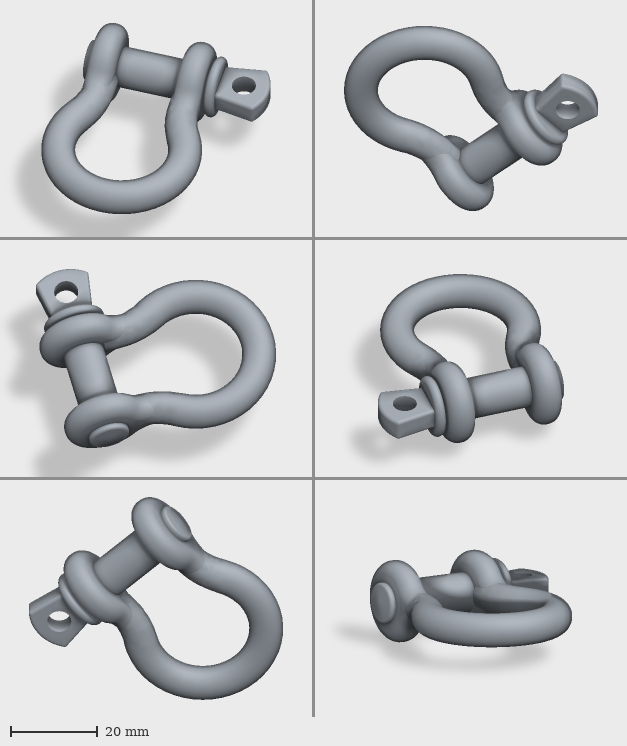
import cadquery as cq
import math


eye_radius = 9.55
eye_width = 6.35
eye_rounding = 2.95
hub_height = 0.15
eye_offset = 10.6
rod_radius = 3.9
bow_outer_radius = 18.6
total_length = 52.95
bow_end_angle = 30.0
leg_offset = 10.2
leg_half_width = 3.6
leg_top_y = -4.9
neck_blend_radius = 5.8
neck_half_height = rod_radius - 0.15

bow_radius = bow_outer_radius - rod_radius
bow_center_y = -(total_length - eye_radius - bow_outer_radius)

pin_radius = 4.75
pin_rim_x = -15.3
pin_tip_height = 0.5
pin_end_rounding = 0.7
collar_radius = 7.15
collar_start_x = 14.3
collar_width = 2.35
blade_thickness = 5.1
blade_root_length = 0.75
blade_root_half_width = 4.9
blade_corner_x = 25.95
blade_corner_half_width = 6.35
blade_tip_x = 28.25
blade_rounding = 0.8
blade_hole_diameter = 5.55
blade_hole_x = 22.2

collar_end_x = collar_start_x + collar_width


def make_bow():
    """Round rod bent to the open ring of the bow, symmetric about the YZ plane."""
    angle = math.radians(bow_end_angle)
    end_x = bow_radius * math.cos(angle)
    end_y = bow_center_y + bow_radius * math.sin(angle)
    path = (
        cq.Workplane("XY")
        .moveTo(-end_x, end_y)
        .threePointArc((0, bow_center_y - bow_radius), (end_x, end_y))
    )
    start_tangent = cq.Vector(-math.sin(angle), -math.cos(angle), 0)
    section = cq.Plane(origin=(-end_x, end_y, 0), xDir=(0, 0, 1), normal=start_tangent)
    return cq.Workplane(section).circle(rod_radius).sweep(path)


def make_leg():
    """Right-hand leg: a reverse bend from the bow that narrows into a straight stub."""
    angle = math.radians(bow_end_angle)
    bow_end_x = bow_radius * math.cos(angle)
    bend_radius = (bow_end_x - leg_offset) / (1 - math.cos(angle))
    start = (bow_end_x, bow_center_y + bow_radius * math.sin(angle))
    bend_center_x = leg_offset + bend_radius
    bend_center_y = start[1] + bend_radius * math.sin(angle)
    middle = (
        bend_center_x - bend_radius * math.cos(angle / 2),
        bend_center_y - bend_radius * math.sin(angle / 2),
    )
    end = (leg_offset, bend_center_y)
    path = cq.Workplane("XY").moveTo(*start).threePointArc(middle, end)

    start_tangent = cq.Vector(-math.sin(angle), math.cos(angle), 0)
    start_plane = cq.Plane(origin=(*start, 0), xDir=(0, 0, 1), normal=start_tangent)
    end_plane = cq.Plane(origin=(*end, 0), xDir=(0, 0, 1), normal=(0, 1, 0))
    start_section = cq.Wire.makeEllipse(
        rod_radius, rod_radius, start_plane.origin, start_plane.zDir, start_plane.xDir
    )
    end_section = cq.Wire.makeEllipse(
        rod_radius, leg_half_width, end_plane.origin, end_plane.zDir, end_plane.xDir
    )
    bend = cq.Solid.sweep_multi([start_section, end_section], path.val())
    stub = (
        cq.Workplane(end_plane)
        .ellipse(rod_radius, leg_half_width)
        .extrude(leg_top_y - bend_center_y)
    )
    return stub.union(cq.Workplane(bend))


def make_eye():
    """Right-hand eye: a round plate that flows into a neck, with its rims rounded."""
    center_z = neck_half_height + neck_blend_radius
    center_distance = eye_radius + neck_blend_radius
    center_y = -math.sqrt(center_distance**2 - center_z**2)
    rim_share = eye_radius / center_distance
    rim_y = center_y * rim_share
    rim_z = center_z * rim_share

    rim_angle = math.atan2(rim_z - center_z, rim_y - center_y)
    middle_angle = (rim_angle - math.pi / 2) / 2
    middle_y = center_y + neck_blend_radius * math.cos(middle_angle)
    middle_z = center_z + neck_blend_radius * math.sin(middle_angle)

    plate = (
        cq.Workplane("YZ", origin=(eye_offset - eye_width / 2, 0, 0))
        .moveTo(center_y, -neck_half_height)
        .threePointArc((middle_y, -middle_z), (rim_y, -rim_z))
        .threePointArc((eye_radius, 0), (rim_y, rim_z))
        .threePointArc((middle_y, middle_z), (center_y, neck_half_height))
        .close()
        .extrude(eye_width)
    )
    rims = plate.faces("<X or >X").edges("not(<Y)")
    return rims.fillet(eye_rounding)


def make_hub():
    """Shallow cones on both side faces of the right-hand eye, rising towards the pin hole."""
    face = eye_width / 2
    top = face + hub_height
    base_radius = eye_radius - eye_rounding
    return (
        cq.Workplane("XY", origin=(eye_offset, 0, 0))
        .moveTo(-top, 0)
        .lineTo(-top, pin_radius)
        .lineTo(-face, base_radius)
        .lineTo(face, base_radius)
        .lineTo(top, pin_radius)
        .lineTo(top, 0)
        .close()
        .revolve(360, (0, 0, 0), (1, 0, 0))
    )


def make_shackle():
    """Bow, two legs and two eyes as one solid, bored through for the pin."""
    half = make_leg().union(make_eye()).union(make_hub())
    bore = cq.Workplane("YZ").circle(pin_radius).extrude(eye_offset + eye_width, both=True)
    return make_bow().union(half).union(half.mirror("YZ")).cut(bore)


def make_shank():
    """Pin shank with a rounded, slightly conical free end."""
    return (
        cq.Workplane("XY")
        .moveTo(pin_rim_x - pin_tip_height, 0)
        .lineTo(pin_rim_x, pin_radius - pin_end_rounding)
        .radiusArc((pin_rim_x + pin_end_rounding, pin_radius), pin_end_rounding)
        .lineTo(collar_end_x, pin_radius)
        .lineTo(collar_end_x, 0)
        .close()
        .revolve(360, (0, 0, 0), (1, 0, 0))
    )


def make_collar():
    """Disc with a fully round rim that stops the pin against the eye."""
    bead_radius = collar_width / 2
    straight_radius = collar_radius - bead_radius
    return (
        cq.Workplane("XY")
        .moveTo(collar_start_x, 0)
        .lineTo(collar_start_x, straight_radius)
        .threePointArc((collar_start_x + bead_radius, collar_radius), (collar_end_x, straight_radius))
        .lineTo(collar_end_x, 0)
        .close()
        .revolve(360, (0, 0, 0), (1, 0, 0))
    )


def make_blade():
    """Fan-shaped grip with rounded edges and a lanyard hole."""
    flare_x = collar_end_x + blade_root_length
    blade = (
        cq.Workplane("XY", origin=(0, 0, -blade_thickness / 2))
        .moveTo(collar_end_x, -blade_root_half_width)
        .lineTo(flare_x, -blade_root_half_width)
        .lineTo(blade_corner_x, -blade_corner_half_width)
        .threePointArc((blade_tip_x, 0), (blade_corner_x, blade_corner_half_width))
        .lineTo(flare_x, blade_root_half_width)
        .lineTo(collar_end_x, blade_root_half_width)
        .close()
        .extrude(blade_thickness)
    )
    blade = blade.edges("|Z").edges(">X").fillet(blade_rounding)
    blade = blade.faces("<Z or >Z").edges("not(<X)").fillet(blade_rounding)
    hole = (
        cq.Workplane("XY")
        .center(blade_hole_x, 0)
        .circle(blade_hole_diameter / 2)
        .extrude(blade_thickness, both=True)
    )
    return blade.cut(hole)


def make_pin():
    """Shank, collar and blade as one solid."""
    return make_shank().union(make_collar()).union(make_blade())


shackle = make_shackle()
pin = make_pin()

result = cq.Compound.makeCompound([shackle.solids().val(), pin.solids().val()])